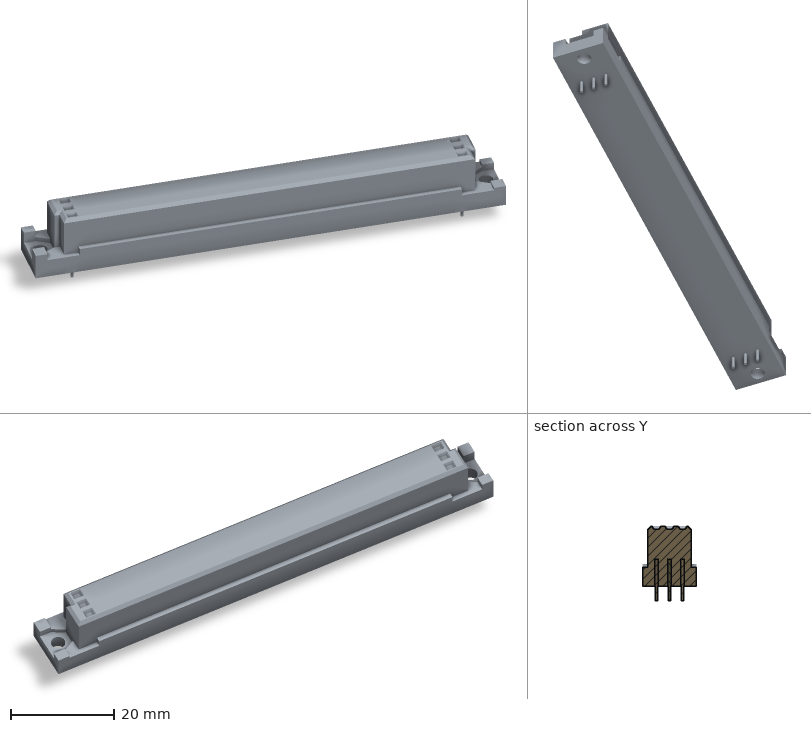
import cadquery as cq

ROW_PITCH = 2.54
COLUMN_PITCH = 2.54
COLUMN_COUNT = 32

FLANGE_WIDTH = 10.5
FLANGE_LENGTH = 94.9
SHELF_HEIGHT = 3.8
RAIL_HEIGHT = 5.2
RAIL_LENGTH = 77.1
LUG_DEPTH = 2.4
FRONT_LUG_HEIGHT = RAIL_HEIGHT
REAR_LUG_HEIGHT = 4.35

MOUNT_SPACING = 90.0
MOUNT_OFFSET = -0.3
MOUNT_DIAMETER = 2.8
RECESS_FLOOR = 2.85
RECESS_WIDTH = 5.9
NECK_WIDTH = 3.2
FUNNEL_LENGTH = 2.3

BLOCK_WIDTH = 8.5
BLOCK_LENGTH = 85.0
BLOCK_TOP = 11.7
STEP_X = 1.15
STEP_DEPTH = 1.05
BLOCK_CHAMFER = 0.65

ENTRY_WIDTH = 1.7
ENTRY_LENGTH = 2.1
ENTRY_TAPER = 0.4
ENTRY_DEPTH = 0.6
PIN_DIAMETER = 0.6
PIN_LENGTH_BELOW = 2.8
PIN_EMBED = RAIL_HEIGHT

half_flange = FLANGE_LENGTH / 2
half_block = BLOCK_LENGTH / 2
step_y = half_block - STEP_DEPTH
column_y = (COLUMN_COUNT - 1) * COLUMN_PITCH / 2
pin_positions = [(row * ROW_PITCH, end * column_y) for end in (-1, 1) for row in (-1, 0, 1)]


def slab(width, length, height, center_y=0.0):
    """Rectangular block on the seating face, centred on X = 0."""
    return (
        cq.Workplane("XY", origin=(0, center_y, 0))
        .rect(width, length)
        .extrude(height)
    )


def make_flange():
    """Base plate with full-width raised strips along the middle and at both ends."""
    flange = slab(FLANGE_WIDTH, FLANGE_LENGTH, SHELF_HEIGHT)
    flange = flange.union(slab(FLANGE_WIDTH, RAIL_LENGTH, RAIL_HEIGHT))
    lug_y = half_flange - LUG_DEPTH / 2
    for end, height in ((-1, FRONT_LUG_HEIGHT), (1, REAR_LUG_HEIGHT)):
        flange = flange.union(slab(FLANGE_WIDTH, LUG_DEPTH, height, end * lug_y))
    return flange


def make_mount_recess(end):
    """Recess that splits an end strip into two lugs and funnels down to a neck at the mating block."""
    lug_y = half_flange - LUG_DEPTH
    neck_y = lug_y - FUNNEL_LENGTH
    half_profile = [
        (RECESS_WIDTH / 2, half_flange),
        (RECESS_WIDTH / 2, lug_y),
        (NECK_WIDTH / 2, neck_y),
        (NECK_WIDTH / 2, step_y),
    ]
    outline = half_profile + [(-x, y) for x, y in reversed(half_profile)]
    return (
        cq.Workplane("XY", origin=(MOUNT_OFFSET, 0, RECESS_FLOOR))
        .polyline([(x, end * y) for x, y in outline])
        .close()
        .extrude(RAIL_HEIGHT - RECESS_FLOOR)
    )


def make_mating_block():
    """Tall block, shortened at both ends on its +X side, with a chamfered top edge."""
    half_width = BLOCK_WIDTH / 2
    outline = [
        (-half_width, -half_block),
        (STEP_X, -half_block),
        (STEP_X, -step_y),
        (half_width, -step_y),
        (half_width, step_y),
        (STEP_X, step_y),
        (STEP_X, half_block),
        (-half_width, half_block),
    ]
    block = cq.Workplane("XY").polyline(outline).close().extrude(BLOCK_TOP)
    return block.faces(">Z").chamfer(BLOCK_CHAMFER)


def make_contact_entry(x, y):
    """Rectangular lead-in in the top face that tapers to a flat floor."""
    floor_width = ENTRY_WIDTH - 2 * ENTRY_TAPER
    floor_length = ENTRY_LENGTH - 2 * ENTRY_TAPER
    return (
        cq.Workplane("XY", origin=(x, y, BLOCK_TOP - ENTRY_DEPTH))
        .rect(floor_width, floor_length)
        .workplane(offset=ENTRY_DEPTH)
        .rect(ENTRY_WIDTH, ENTRY_LENGTH)
        .loft(ruled=True)
    )


def make_pin(x, y):
    """Round contact pin that stands out below the flange and is embedded in the housing."""
    return (
        cq.Workplane("XY", origin=(x, y, -PIN_LENGTH_BELOW))
        .circle(PIN_DIAMETER / 2)
        .extrude(PIN_EMBED + PIN_LENGTH_BELOW)
    )


def make_mount_holes():
    return (
        cq.Workplane("XY")
        .pushPoints([(MOUNT_OFFSET, end * MOUNT_SPACING / 2) for end in (-1, 1)])
        .circle(MOUNT_DIAMETER / 2)
        .extrude(RECESS_FLOOR)
    )


def make_housing(pins):
    """Flange and mating block in one piece, with a matching blind hole for each pin."""
    housing = make_flange()
    for end in (-1, 1):
        housing = housing.cut(make_mount_recess(end))
    housing = housing.union(make_mating_block()).cut(make_mount_holes())
    for x, y in pin_positions:
        housing = housing.cut(make_contact_entry(x, y))
    for pin in pins:
        housing = housing.cut(pin)
    return housing


pins = [make_pin(x, y) for x, y in pin_positions]
housing = make_housing(pins)
result = cq.Compound.makeCompound([housing.val(), *[pin.val() for pin in pins]])